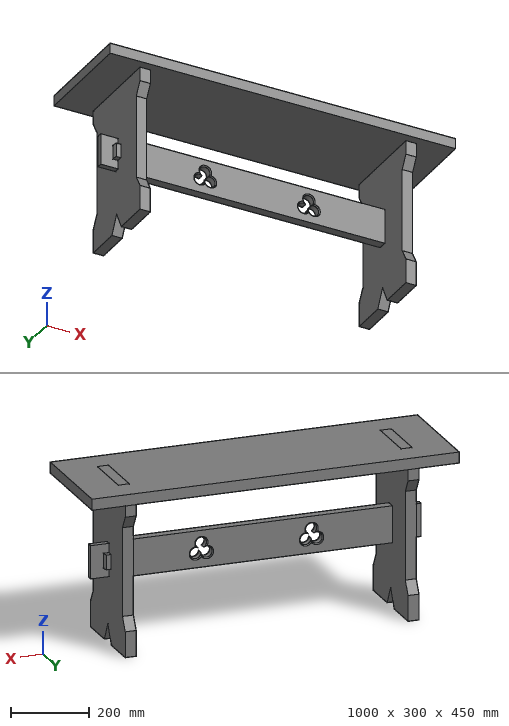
import cadquery as cq
import math

seat_length = 1000.0
seat_width = 300.0
bench_height = 450.0
board_thickness = 30.0
seat_underside = bench_height - board_thickness

leg_outer_x = 400.0
leg_inner_x = leg_outer_x - board_thickness
flare_half_width = 125.0
waist_half_width = 105.0
foot_height = 70.0
head_height = 40.0
flare_rise = 35.0
notch_half_width = 25.0
notch_height = 50.0
leg_tenon_width = 150.0

rail_mid_z = bench_height / 2
rail_height = 100.0
rail_thickness = 25.0
rail_tenon_thickness = 15.0
rail_tenon_height = 90.0
rail_end_x = 450.0

trefoil_x = 150.0
trefoil_mid_z = 223.0
lobe_radius = 15.0
lobe_chamfer = 3.0
lobe_offset = 2 * lobe_radius / math.sqrt(3)
cusp_offset = lobe_offset / 2
lobe_angles = (0, 120, 240)
half_lobe_angle = 60

wedge_height = 40.0
wedge_thick = 20.0
wedge_land_thickness = 15.0
wedge_thin = 13.0
wedge_thick_reach = 20.0
wedge_land_start = rail_tenon_thickness / 2
wedge_land_end = rail_thickness / 2
wedge_thin_reach = 23.0

sides = (-1, 1)


def centred_box(length, width, height, x, z):
    return cq.Workplane("XY").box(length, width, height).translate((x, 0, z))


def make_seat():
    seat = centred_box(seat_length, seat_width, board_thickness, 0, seat_underside + board_thickness / 2)
    for side in sides:
        seat = seat.cut(make_leg_tenon(side))
    return seat


def make_leg_tenon(side):
    leg_mid_x = side * (leg_inner_x + leg_outer_x) / 2
    return centred_box(
        board_thickness, leg_tenon_width, board_thickness, leg_mid_x, seat_underside + board_thickness / 2
    )


def make_leg(side):
    right_edge = [
        (notch_half_width, 0),
        (flare_half_width, 0),
        (flare_half_width, foot_height),
        (waist_half_width, foot_height + flare_rise),
        (waist_half_width, seat_underside - head_height - flare_rise),
        (flare_half_width, seat_underside - head_height),
        (flare_half_width, seat_underside),
    ]
    left_edge = [(-y, z) for y, z in reversed(right_edge)]
    outline = [(0, notch_height)] + right_edge + left_edge
    start_x = leg_inner_x if side > 0 else -leg_outer_x
    board = cq.Workplane("YZ").workplane(offset=start_x).polyline(outline).close().extrude(board_thickness)
    return board.union(make_leg_tenon(side)).cut(make_rail_tenons())


def make_rail_tenons():
    return centred_box(2 * rail_end_x, rail_tenon_thickness, rail_tenon_height, 0, rail_mid_z)


def trefoil_point(distance, angle):
    """Point at a distance from the trefoil centre, at an angle from straight up."""
    turn = math.radians(angle)
    return distance * math.sin(turn), distance * math.cos(turn)


def make_trefoil(x):
    half = rail_thickness / 2

    outline = cq.Workplane("XZ").workplane(offset=-half).moveTo(*trefoil_point(cusp_offset, -half_lobe_angle))
    for angle in lobe_angles:
        lobe_tip = trefoil_point(lobe_offset + lobe_radius, angle)
        next_cusp = trefoil_point(cusp_offset, angle + half_lobe_angle)
        outline = outline.threePointArc(lobe_tip, next_cusp)
    cutter = outline.close().extrude(rail_thickness)

    for angle in lobe_angles:
        lobe_x, lobe_z = trefoil_point(lobe_offset, angle)
        for face in (-1, 1):
            cone = cq.Solid.makeCone(
                lobe_radius + lobe_chamfer,
                lobe_radius,
                lobe_chamfer,
                pnt=cq.Vector(lobe_x, face * half, lobe_z),
                dir=cq.Vector(0, -face, 0),
            )
            cutter = cutter.union(cq.Workplane(cone))
    return cutter.translate((x, 0, trefoil_mid_z))


def make_stretcher():
    rail = centred_box(2 * leg_inner_x, rail_thickness, rail_height, 0, rail_mid_z)
    stretcher = rail.union(make_rail_tenons())
    for side in sides:
        stretcher = stretcher.cut(make_trefoil(side * trefoil_x)).cut(make_wedge(side))
    return stretcher


def make_wedge(side):
    outline = [
        (leg_outer_x, -wedge_thick_reach),
        (leg_outer_x + wedge_thick, -wedge_thick_reach),
        (leg_outer_x + wedge_land_thickness, wedge_land_start),
        (leg_outer_x + wedge_land_thickness, wedge_land_end),
        (leg_outer_x + wedge_thin, wedge_thin_reach),
        (leg_outer_x, wedge_thin_reach),
    ]
    wedge = (
        cq.Workplane("XY")
        .workplane(offset=rail_mid_z - wedge_height / 2)
        .polyline(outline)
        .close()
        .extrude(wedge_height)
    )
    if side < 0:
        wedge = wedge.rotate((0, 0, 0), (0, 0, 1), 180)
    return wedge


seat = make_seat()
legs = [make_leg(side) for side in sides]
stretcher = make_stretcher()
wedges = [make_wedge(side) for side in sides]

bodies = [seat, *legs, stretcher, *wedges]
result = cq.Compound.makeCompound([body.val() for body in bodies])